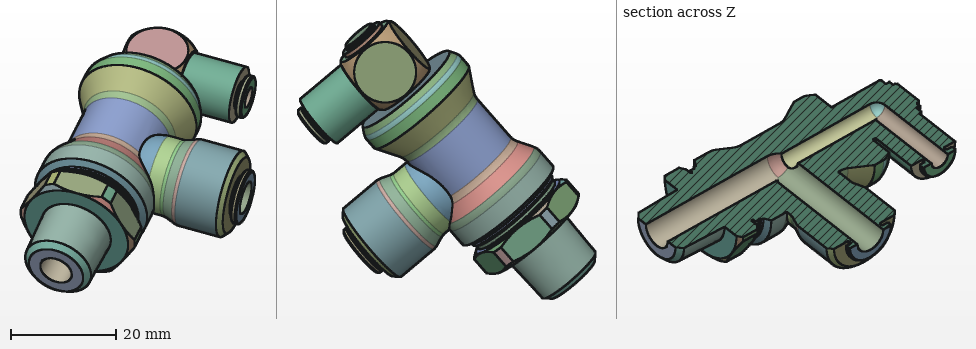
import cadquery as cq
import math


overall_length = 62.55
overall_width = 39.0

thread_tip_radius = 5.5
thread_chamfer_radius = 6.7
thread_chamfer_length = 1.1
thread_root_radius = 7.0

hex_start = 10.95
hex_end = 16.1
hex_across_flats = 21.0
hex_corner_radius = 11.6
hex_chamfer_length = 0.75

neck_radius = 8.95
washer_start = 16.4
washer_end = 17.25
washer_radius = 9.65
groove_radius = 9.5
collar_start = 17.5
collar_radius = 9.95

body_start = 18.15
body_end = 48.65
base_radius = 11.4
base_chamfer_length = 0.75
base_shoulder = 23.45
waist_radius = 8.95
head_diameter = 23.85
head_radius = head_diameter / 2
head_shoulder = 44.15
head_chamfer_start = 46.9
cone_angle = math.radians(30)
spool_fillet = 3.0
head_fillet = 2.0

large_y = 30.2
large_neck_radius = 7.5
large_ball_x = 9.7
large_flare_start = 12.9
large_flare_end = 15.6
large_flare_fillet = 2.0
large_socket_radius = 8.5
large_socket_end = 25.3
large_socket_chamfer = 1.0
large_collet_stem_radius = 3.95
large_collet_radius = 5.3
large_collet_start = 25.95
large_collet_end = overall_width - head_radius

elbow_y = 54.7
elbow_half_size = 6.1
elbow_face_circle = 5.9
small_socket_radius = 5.5
small_socket_end = 16.6
small_collet_stem_radius = 2.7
small_collet_radius = 4.1
small_collet_start = 17.25
small_collet_end = 18.5
collet_chamfer = 0.25

cap_base_radius = 4.55
cap_base_end = 61.75
cap_radius = 3.5
cap_tip_radius = 3.2
cap_chamfer_start = 62.2

large_bore_radius = 3.2
small_bore_radius = 2.0


def turned_about_y(outline):
    """Revolve (radius, y) points about the Y axis, closing the outline along the axis."""
    points = [(0, outline[0][1])] + outline + [(0, outline[-1][1])]
    return cq.Workplane("XY").polyline(points).close().revolve(360, (0, 0, 0), (0, 1, 0))


def turned_about_x(outline, axis_y):
    """Revolve (x, radius) points about the line parallel to X at the given Y."""
    points = [(outline[0][0], 0)] + outline + [(outline[-1][0], 0)]
    profile = cq.Workplane("XY", origin=(0, axis_y, 0)).polyline(points).close()
    return profile.revolve(360, (0, 0, 0), (1, 0, 0))


def fillet_ring(solid, ring_center, radius):
    """Round the circular edge centred at the given point."""
    return solid.edges(cq.selectors.NearestToPointSelector(ring_center)).fillet(radius)


def ball(center, radius):
    return cq.Workplane("XY", origin=center).sphere(radius)


def make_thread_end():
    return turned_about_y([
        (thread_tip_radius, 0),
        (thread_chamfer_radius, thread_chamfer_length),
        (thread_root_radius, hex_start),
    ])


def make_hexagon():
    """Hexagon with corners on +/-X, turned down at the corners and chamfered at both ends."""
    flat_radius = hex_across_flats / 2
    corner_diameter = hex_across_flats / math.cos(math.pi / 6)
    height = hex_end - hex_start
    prism = cq.Workplane("XZ", origin=(0, hex_start, 0)).polygon(6, corner_diameter).extrude(-height)
    envelope = turned_about_y([
        (flat_radius, hex_start),
        (hex_corner_radius, hex_start + hex_chamfer_length),
        (hex_corner_radius, hex_end - hex_chamfer_length),
        (flat_radius, hex_end),
    ])
    return prism.intersect(envelope)


def make_neck_rings():
    return turned_about_y([
        (neck_radius, hex_end),
        (neck_radius, washer_start),
        (washer_radius, washer_start),
        (washer_radius, washer_end),
        (groove_radius, washer_end),
        (groove_radius, collar_start),
        (collar_radius, collar_start),
        (collar_radius, body_start),
    ])


def make_body():
    """Spool with a narrow waist between two 30 degree cones."""
    slope = math.tan(cone_angle)
    waist_start = base_shoulder + (base_radius - waist_radius) / slope
    waist_end = head_shoulder - (head_radius - waist_radius) / slope
    head_end_radius = head_radius - (body_end - head_chamfer_start) * slope
    body = turned_about_y([
        (collar_radius, body_start),
        (base_radius, body_start + base_chamfer_length),
        (base_radius, base_shoulder),
        (waist_radius, waist_start),
        (waist_radius, waist_end),
        (head_radius, head_shoulder),
        (head_radius, head_chamfer_start),
        (head_end_radius, body_end),
    ])
    for ring_y in (base_shoulder, waist_start, waist_end):
        body = fillet_ring(body, (0, ring_y, 0), spool_fillet)
    return fillet_ring(body, (0, head_chamfer_start, 0), head_fillet)


def make_collet(stem_start, stem_radius, start, end, radius, axis_y):
    """Release collet: a thin stem followed by a flange with chamfered rims."""
    return turned_about_x([
        (stem_start, stem_radius),
        (start, stem_radius),
        (start, radius - collet_chamfer),
        (start + collet_chamfer, radius),
        (end - collet_chamfer, radius),
        (end, radius - collet_chamfer),
    ], axis_y)


def make_large_outlet():
    """Ball-ended neck inside the body, flaring out to the large tube socket."""
    socket = turned_about_x([
        (large_ball_x, large_neck_radius),
        (large_flare_start, large_neck_radius),
        (large_flare_end, large_socket_radius),
        (large_socket_end - large_socket_chamfer, large_socket_radius),
        (large_socket_end, large_socket_radius - large_socket_chamfer),
    ], large_y)
    for ring_x in (large_flare_start, large_flare_end):
        socket = fillet_ring(socket, (ring_x, large_y, 0), large_flare_fillet)
    collet = make_collet(large_socket_end, large_collet_stem_radius, large_collet_start,
                         large_collet_end, large_collet_radius, large_y)
    return ball((large_ball_x, large_y, 0), large_neck_radius).union(socket).union(collet)


def make_small_elbow():
    """Cube with its edges and corners trimmed by a ball, carrying the small tube socket."""
    center = (0, elbow_y, 0)
    size = 2 * elbow_half_size
    cube = cq.Workplane("XY", origin=center).box(size, size, size)
    block = cube.intersect(ball(center, math.hypot(elbow_half_size, elbow_face_circle)))
    socket = turned_about_x([(0, small_socket_radius), (small_socket_end, small_socket_radius)], elbow_y)
    collet = make_collet(small_socket_end, small_collet_stem_radius, small_collet_start,
                         small_collet_end, small_collet_radius, elbow_y)
    return block.union(socket).union(collet)


def make_cap():
    return turned_about_y([
        (cap_base_radius, elbow_y + elbow_half_size),
        (cap_base_radius, cap_base_end),
        (cap_radius, cap_base_end),
        (cap_radius, cap_chamfer_start),
        (cap_tip_radius, overall_length),
    ])


def make_passage(radius, start_y, turn_y, outlet_x):
    """Bore along the main axis that turns through a ball-shaped elbow out along +X."""
    inlet = turned_about_y([(radius, start_y), (radius, turn_y)])
    outlet = turned_about_x([(0, radius), (outlet_x, radius)], turn_y)
    return inlet.union(outlet).union(ball((0, turn_y, 0), radius))


result = make_thread_end()
for section in (make_hexagon(), make_neck_rings(), make_body(), make_large_outlet(),
                make_small_elbow(), make_cap()):
    result = result.union(section)
result = result.cut(make_passage(large_bore_radius, 0, large_y, large_collet_end))
result = result.cut(make_passage(small_bore_radius, large_y, elbow_y, small_collet_end))